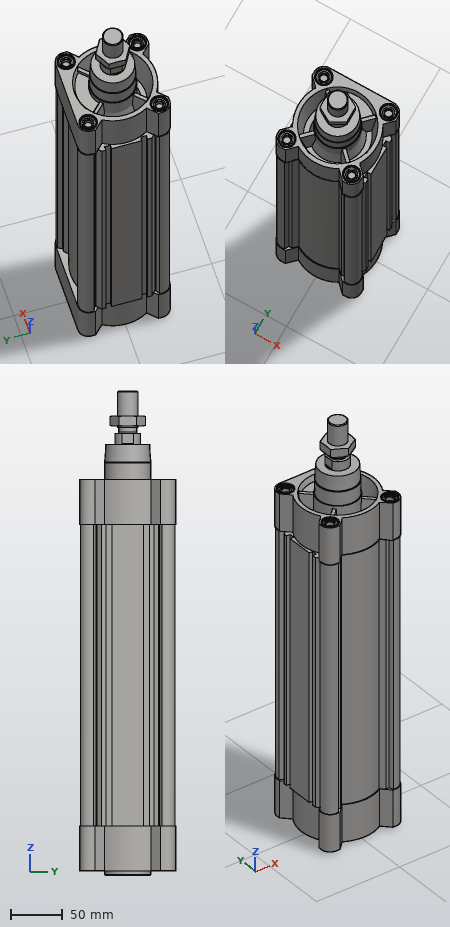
import cadquery as cq
import math


total_height = 467.5
boss_height = 4.0
boss_chamfer = 1.0
cap_height = 43.5
upper_cap_top = 382.5
collar_top = 416.0
collar_groove_z = 398.5
rod_shoulder_z = 427.0
nut_bottom = 434.0
nut_height = 10.0
lower_cap_top = boss_height + cap_height
upper_cap_bottom = upper_cap_top - cap_height

bolt_offset = 36.0
overall_width = 93.0
cap_half_width = overall_width / 2
barrel_half_width = 46.0

bulge_half_chord = 22.5
bulge_radius = 44.5
cap_crown = 43.5
barrel_crown = 42.5
lobe_flank_start = 32.0
notch_floor = 1.0

lobe_edge = 33.0
groove_outer = 31.0
groove_inner = 27.5
groove_floor = 41.0
lip_half_width = 25.3
slot_outer = 21.0
slot_inner = 15.5
slot_floor = 41.5
rail_root = 35.0
sensor_face = barrel_half_width

collar_diameter = 45.0
collar_groove_width = 1.0
collar_groove_depth = 0.5
collar_tip_diameter = 42.5
recess_diameter = 77.5
recess_floor_diameter = 66.5
hub_diameter = 46.8
hub_foot_diameter = 55.0
hub_flare_height = 14.0
recess_depth = 32.5
shelf_diameter = 73.5
shelf_depth = 6.5
rib_top_width = 3.7
rib_base_width = 8.5
rib_drop = 3.5
rib_angles = (45, 135)

bolt_hole_steps = [(18.0, 0.5), (16.0, 1.0), (15.0, 2.0), (11.5, 2.5), (9.0, 3.0), (8.0, 7.0)]

rod_diameter = 25.0
rod_flat_width = 22.0
rod_flat_bottom = 417.0
thread_diameter = 20.0
thread_chamfer = 1.0
relief_diameter = 18.0
relief_foot_diameter = 18.2
relief_foot_height = 1.5
relief_top = 432.5
nut_width = 30.0
nut_chamfer_angle = 15
nut_sides = 6
half_side_angle = 180 / nut_sides


def turned(point, quarter_turns):
    """Rotate a point about Z by a number of quarter turns."""
    x, y = point
    for _ in range(quarter_turns):
        x, y = -y, x
    return x, y


def mirrored(points):
    """Points mirrored across the YZ plane, in the order that continues the outline."""
    return [(-x, y) for x, y in reversed(points)]


def lobe_arc(outline, half_width, turn):
    """Round the lobe that follows the side facing -Y, turned into place."""
    reach = bolt_offset + (half_width - bolt_offset) * math.sqrt(0.5)
    middle = turned((reach, -reach), turn)
    end = turned((half_width, -bolt_offset), turn)
    return outline.threePointArc(middle, end)


def bulge_edge(crown):
    """Distance from the axis, square to the side, at which a bulge with this crown ends."""
    sagitta = bulge_radius - math.sqrt(bulge_radius**2 - bulge_half_chord**2)
    return crown - sagitta


def lobed_outline(half_width, crown, flanks):
    """Four lobes joined by bulged sides; each flank lists the points from lobe to bulge.

    A flank of None makes that side straight.
    """
    outline = cq.Workplane("XY").moveTo(-bolt_offset, -half_width)
    for turn, flank in enumerate(flanks):
        if flank:
            for point in flank:
                outline = outline.lineTo(*turned(point, turn))
            middle = turned((0, -crown), turn)
            outline = outline.threePointArc(middle, turned((bulge_half_chord, -bulge_edge(crown)), turn))
            for point in mirrored(flank)[1:]:
                outline = outline.lineTo(*turned(point, turn))
        outline = outline.lineTo(*turned((bolt_offset, -half_width), turn))
        outline = lobe_arc(outline, half_width, turn)
    return outline.close()


def cap(bottom):
    """End cap with bulged sides, but a straight one towards +Y."""
    flank_drop = lobe_flank_start - bulge_half_chord - notch_floor
    flank = [
        (-lobe_flank_start, -cap_half_width),
        (-lobe_flank_start + flank_drop, -cap_half_width + flank_drop),
        (-bulge_half_chord, -bulge_edge(cap_crown)),
    ]
    outline = lobed_outline(cap_half_width, cap_crown, [flank, flank, None, flank])
    return outline.extrude(cap_height).translate((0, 0, bottom))


def barrel():
    flank = [
        (-lobe_edge, -barrel_half_width),
        (-groove_outer, -groove_floor),
        (-groove_inner, -groove_floor),
        (-bulge_half_chord, -bulge_edge(barrel_crown)),
    ]
    length = upper_cap_bottom - lower_cap_top
    body = lobed_outline(barrel_half_width, barrel_crown, [flank] * 4).extrude(length)
    for side in (1, -1):
        body = body.union(sensor_rail(side, length))
    return body.translate((0, 0, lower_cap_top))


def sensor_rail(side, length):
    """Flat rail between two open slots and their outer lips, on the side -1 or 1 along X."""
    lip_rise = sensor_face - groove_floor
    half = [
        (sensor_face, slot_inner),
        (slot_floor, slot_inner),
        (slot_floor, slot_outer),
        (sensor_face, slot_outer),
        (sensor_face, lip_half_width),
        (groove_floor, lip_half_width + lip_rise),
        (rail_root, lip_half_width + lip_rise),
    ]
    other_half = [(x, -y) for x, y in reversed(half)]
    points = [(side * x, y) for x, y in half + other_half]
    return cq.Workplane("XY").polyline(points).close().extrude(length)


def disc(diameter, bottom, height):
    return cq.Workplane("XY").workplane(offset=bottom).circle(diameter / 2).extrude(height)


def cone(bottom_diameter, top_diameter, bottom, height):
    lower = cq.Workplane("XY").workplane(offset=bottom).circle(bottom_diameter / 2)
    return lower.workplane(offset=height).circle(top_diameter / 2).loft()


def rib(angle):
    """Tapered wall across the recess, as long as the recess is wide."""
    height = recess_depth - rib_drop
    half_base = rib_base_width / 2
    half_top = rib_top_width / 2
    section = [(-half_base, 0), (half_base, 0), (half_top, height), (-half_top, height)]
    wall = cq.Workplane("XZ").polyline(section).close().extrude(recess_diameter / 2, both=True)
    return wall.rotate((0, 0, 0), (0, 0, 1), angle).translate((0, 0, upper_cap_top - recess_depth))


def shelf_sector(floor):
    """Quarter of the recess towards +Y, which stays shallow."""
    reach = recess_diameter
    triangle = [(0, 0), (reach, reach), (-reach, reach)]
    return cq.Workplane("XY").workplane(offset=floor).polyline(triangle).close().extrude(recess_depth)


def recess():
    """Ring-shaped recess around the hub, crossed by the ribs."""
    floor = upper_cap_top - recess_depth
    sector = shelf_sector(floor)
    deep = cone(recess_floor_diameter, recess_diameter, floor, recess_depth).cut(sector)
    shelf = cone(shelf_diameter, recess_diameter, upper_cap_top - shelf_depth, shelf_depth).intersect(sector)
    ring = deep.union(shelf).cut(disc(hub_diameter, floor, recess_depth))
    ring = ring.cut(cone(hub_foot_diameter, hub_diameter, floor, hub_flare_height))
    for angle in rib_angles:
        ring = ring.cut(rib(angle))
    return ring


def bolt_hole(x, y):
    hole = cq.Workplane("XY")
    for diameter, depth in bolt_hole_steps:
        hole = hole.union(disc(diameter, upper_cap_top - depth, depth))
    return hole.translate((x, y, 0))


def collar():
    tip_bottom = collar_groove_z + collar_groove_width
    lower = disc(collar_diameter, upper_cap_top, collar_groove_z - upper_cap_top)
    neck = disc(collar_diameter - 2 * collar_groove_depth, collar_groove_z, collar_groove_width)
    tip = cone(collar_diameter, collar_tip_diameter, tip_bottom, collar_top - tip_bottom)
    return lower.union(neck).union(tip)


def make_housing():
    body = barrel().union(cap(boss_height)).union(cap(upper_cap_bottom))
    body = body.union(disc(collar_diameter, 0, boss_height).faces("<Z").chamfer(boss_chamfer))
    body = body.cut(recess())
    body = body.union(collar())
    for x in (-bolt_offset, bolt_offset):
        for y in (-bolt_offset, bolt_offset):
            body = body.cut(bolt_hole(x, y))
    return body.cut(disc(rod_diameter, upper_cap_bottom, collar_top - upper_cap_bottom))


def make_rod():
    """Shank with two wrench flats, then a thread relief and the thread."""
    shank = disc(rod_diameter, upper_cap_bottom, rod_shoulder_z - upper_cap_bottom)
    flat_height = rod_shoulder_z - rod_flat_bottom
    across = cq.Workplane("XY").box(rod_flat_width, rod_diameter, flat_height, centered=(True, True, False))
    flat_zone = disc(rod_diameter, rod_flat_bottom, flat_height)
    flats = flat_zone.cut(across.translate((0, 0, rod_flat_bottom)))
    relief = disc(relief_diameter, rod_shoulder_z, relief_top - rod_shoulder_z)
    foot = disc(relief_foot_diameter, rod_shoulder_z, relief_foot_height)
    thread = disc(thread_diameter, relief_top, total_height - relief_top).faces(">Z").chamfer(thread_chamfer)
    return shank.cut(flats).union(relief).union(foot).union(thread)


def make_nut():
    corner_diameter = nut_width / math.cos(math.radians(half_side_angle))
    hexagon = cq.Workplane("XY").polygon(nut_sides, corner_diameter).extrude(nut_height)
    hexagon = hexagon.rotate((0, 0, 0), (0, 0, 1), half_side_angle)
    bevel_height = (corner_diameter - nut_width) / 2 * math.tan(math.radians(nut_chamfer_angle))
    envelope = cone(nut_width, corner_diameter, 0, bevel_height)
    envelope = envelope.union(disc(corner_diameter, bevel_height, nut_height - 2 * bevel_height))
    envelope = envelope.union(cone(corner_diameter, nut_width, nut_height - bevel_height, bevel_height))
    nut = hexagon.intersect(envelope).cut(disc(thread_diameter, 0, nut_height))
    return nut.translate((0, 0, nut_bottom))


housing = make_housing()
rod = make_rod()
nut = make_nut()

result = cq.Compound.makeCompound([housing.val(), rod.val(), nut.val()])